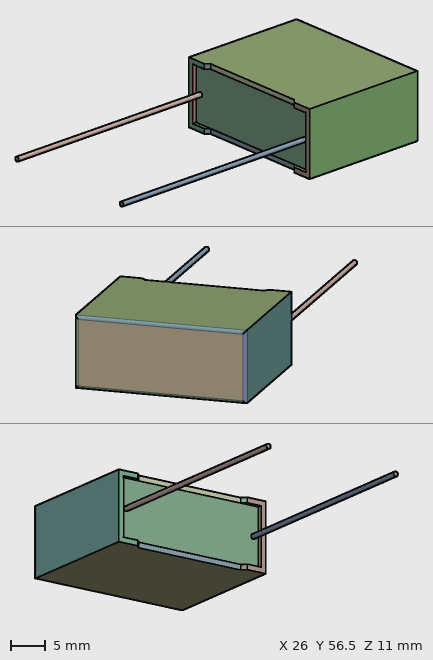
import cadquery as cq

total_length = 56.5
housing_width = 26.0
housing_height = 11.0
housing_length = 21.4
wall = 0.85
back_edge_radius = 0.5

relief_depth = 0.7
relief_floor_width = 17.95

lead_diameter = 0.8
lead_pitch = 22.5

back_y = total_length / 2
rim_y = back_y - housing_length
filler_face_y = rim_y + relief_depth
cavity_end_y = back_y - wall
lead_tip_y = -total_length / 2


def block(width, height, front_y, end_y):
    """Box centred on X and Z that spans front_y to end_y."""
    length = end_y - front_y
    return cq.Workplane("XY").box(width, length, height).translate((0, front_y + length / 2, 0))


def make_relief():
    """Trapezoidal bar with 45 degree ends, running through both large walls."""
    half_floor = relief_floor_width / 2
    half_mouth = half_floor + relief_depth
    return (
        cq.Workplane("XY")
        .moveTo(-half_mouth, rim_y)
        .lineTo(-half_floor, filler_face_y)
        .lineTo(half_floor, filler_face_y)
        .lineTo(half_mouth, rim_y)
        .close()
        .extrude(housing_height / 2, both=True)
    )


def make_cavity(front_y):
    """Inside space of the housing from front_y back to the closed end."""
    return block(housing_width - 2 * wall, housing_height - 2 * wall, front_y, cavity_end_y)


def make_housing():
    """Open box with rounded back edges and a relieved rim."""
    shell = block(housing_width, housing_height, rim_y, back_y)
    shell = shell.faces(">Y").edges().fillet(back_edge_radius)
    return shell.cut(make_cavity(rim_y)).cut(make_relief())


def make_filler():
    """Potting that fills the cavity up to the floor of the relief."""
    return make_cavity(filler_face_y)


def make_lead(x):
    """Straight round wire standing on the filler face."""
    return (
        cq.Workplane("XZ", origin=(x, filler_face_y, 0))
        .circle(lead_diameter / 2)
        .extrude(filler_face_y - lead_tip_y)
    )


housing = make_housing()
filler = make_filler()
leads = [make_lead(side * lead_pitch / 2) for side in (-1, 1)]

result = cq.Compound.makeCompound([housing.val(), filler.val(), *[lead.val() for lead in leads]])